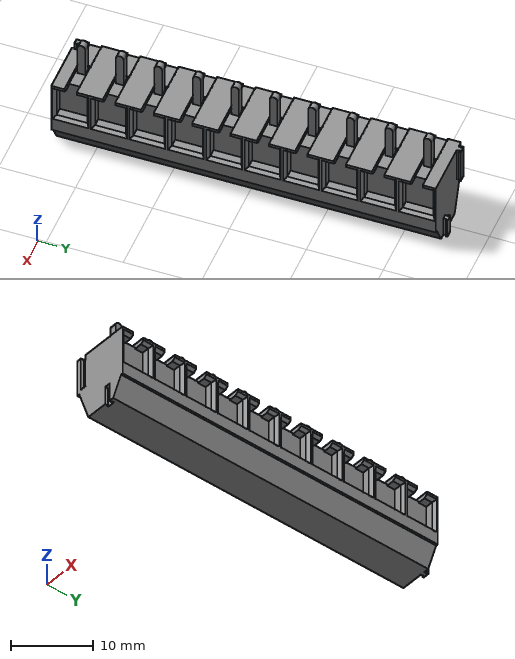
import cadquery as cq

pin_count = 10
pitch = 5.0
pin_size = 1.0
pin_center_x = 4.4
pin_top_z = 14.5
pin_embedment = 1.0

width = 8.6
height = 10.25
length = pin_count * pitch
left_taper_z = 4.75
left_ledge = 0.35
right_taper_z = 2.75
right_ledge = 0.3
bottom_left_x = 2.1
bottom_right_x = 6.8

groove_width = 1.6
groove_depth = 0.3
deep_groove_start_x = 3.5
deep_groove_depth = 0.55

pocket_start_x = 7.0
pocket_width = 4.0
pocket_bottom_z = 5.0
pocket_roof = 0.75
pocket_chamfer = 0.35
pocket_chamfer_length = 0.5

upper_joint_x = 1.13
upper_joint_bottom_z = 5.3
lower_joint_x = 5.7
lower_joint_top_z = right_taper_z
joint_depth = 0.6
head_thickness = 0.25
rail_root_width = 0.7
rail_neck_width = 0.55
rail_head_width = 1.0
slot_mouth_width = 0.85
slot_neck_width = 0.68
slot_head_width = 1.03

first_pin_y = pitch / 2
pin_positions = [first_pin_y + i * pitch for i in range(pin_count)]


def box(x0, x1, y0, y1, z0, z1):
    """Block given by its limits along each axis."""
    return cq.Workplane("XY").box(x1 - x0, y1 - y0, z1 - z0, centered=False).translate((x0, y0, z0))


def housing():
    outline = [
        (0, height),
        (0, left_taper_z),
        (left_ledge, left_taper_z),
        (bottom_left_x, 0),
        (bottom_right_x, 0),
        (width - right_ledge, right_taper_z),
        (width, right_taper_z),
        (width, height),
    ]
    return cq.Workplane("XZ").polyline(outline).close().extrude(-length)


def top_groove(y):
    """Groove with a shallow left part and a deeper right part."""
    y0 = y - groove_width / 2
    y1 = y + groove_width / 2
    shallow = box(0, width, y0, y1, height - groove_depth, height)
    deep = box(deep_groove_start_x, pocket_start_x, y0, y1, height - deep_groove_depth, height)
    outlet = box(pocket_start_x, width, y0, y1, height - pocket_roof, height)
    return shallow.union(deep).union(outlet)


def side_pocket(y):
    """Rectangular pocket with a flared mouth at the +X face."""
    pocket_top_z = height - pocket_roof
    pocket_height = pocket_top_z - pocket_bottom_z
    pocket_middle_z = pocket_bottom_z + pocket_height / 2
    y0 = y - pocket_width / 2
    y1 = y + pocket_width / 2
    throat = box(pocket_start_x, width, y0, y1, pocket_bottom_z, pocket_top_z)
    mouth = (
        cq.Workplane("YZ", origin=(width - pocket_chamfer_length, y, pocket_middle_z))
        .rect(pocket_width, pocket_height)
        .workplane(offset=pocket_chamfer_length)
        .rect(pocket_width + 2 * pocket_chamfer, pocket_height + 2 * pocket_chamfer)
        .loft()
    )
    return throat.union(mouth)


def pin(y):
    """Square pin with a half-round tip whose axis runs along X."""
    half = pin_size / 2
    root_z = height - deep_groove_depth - pin_embedment
    shoulder_z = pin_top_z - half
    return (
        cq.Workplane("YZ", origin=(pin_center_x - half, y, 0))
        .moveTo(-half, root_z)
        .lineTo(half, root_z)
        .lineTo(half, shoulder_z)
        .threePointArc((0, pin_top_z), (-half, shoulder_z))
        .close()
        .extrude(pin_size)
    )


def joint_prism(x, y, root_width, neck_width, head_width, z0, z1):
    """Prism along Z with a T section: a neck tapering from its root at y, and a wider head at +Y."""
    head_y = y + joint_depth - head_thickness
    tip_y = y + joint_depth
    neck_outline = [
        (x - root_width / 2, y),
        (x + root_width / 2, y),
        (x + neck_width / 2, head_y),
        (x - neck_width / 2, head_y),
    ]
    neck = cq.Workplane("XY", origin=(0, 0, z0)).polyline(neck_outline).close().extrude(z1 - z0)
    head = box(x - head_width / 2, x + head_width / 2, head_y, tip_y, z0, z1)
    return neck.union(head)


result = housing()
for pin_y in pin_positions:
    result = result.cut(top_groove(pin_y)).cut(side_pocket(pin_y))
    result = result.union(pin(pin_y))

joints = [
    (upper_joint_x, upper_joint_bottom_z, height),
    (lower_joint_x, 0, lower_joint_top_z),
]
slot_widths = (slot_mouth_width, slot_neck_width, slot_head_width)
rail_widths = (rail_root_width, rail_neck_width, rail_head_width)
for joint_x, joint_z0, joint_z1 in joints:
    slot = joint_prism(joint_x, 0, *slot_widths, joint_z0, joint_z1)
    rail = joint_prism(joint_x, length, *rail_widths, joint_z0, joint_z1)
    result = result.cut(slot).union(rail)